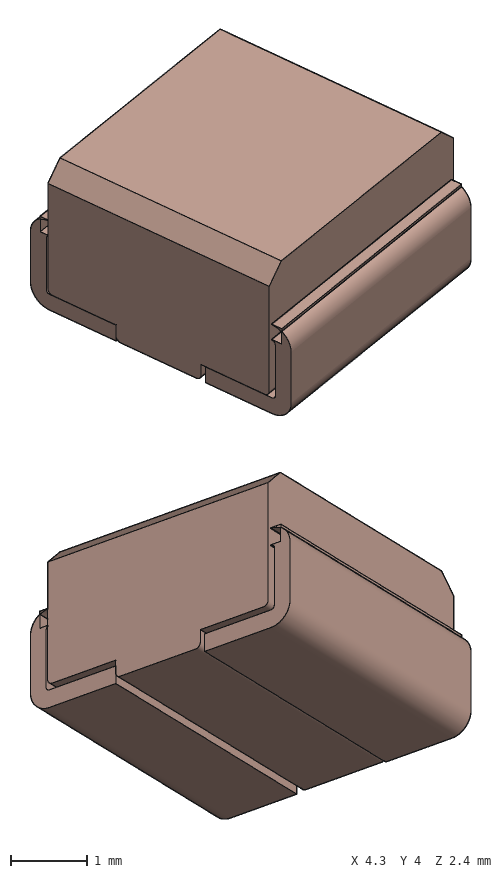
import cadquery as cq
import math

overall_length = 4.3
overall_height = 2.4

housing_length = 3.65
housing_width = 4.0
housing_bottom = 0.315
top_chamfer = 0.262
pad_length = 1.4
pad_bottom = 0.05
bottom_edge_radius = 0.077

lead_width = 3.9
lead_thickness = 0.262
lead_height = 1.485
bend_radius = 0.32
foot_gap = 0.035
tip_depth = 0.155
channel_wall = 0.01

lead_outer_x = -overall_length / 2
lead_inner_x = lead_outer_x + lead_thickness
housing_end_x = -housing_length / 2
foot_end_x = -pad_length / 2 - foot_gap
tip_start_x = lead_outer_x + tip_depth
tip_bottom = lead_height - lead_thickness
bend_center_x = lead_outer_x + bend_radius
upper_bend_z = lead_height - bend_radius
inner_radius = bend_radius - lead_thickness


def centered_slab(x_min, x_max, z_min, z_max, width):
    """Rectangular block centred on Y = 0."""
    return cq.Workplane("XY").box(
        x_max - x_min, width, z_max - z_min, centered=(False, True, False)
    ).translate((x_min, 0, z_min))


def make_housing():
    """Block with two chamfered top edges and a raised pad underneath."""
    block = centered_slab(housing_end_x, -housing_end_x, housing_bottom, overall_height, housing_width)
    block = block.faces(">Z").edges("|X").chamfer(top_chamfer)
    block = block.faces("<Z").edges("|Y").fillet(bottom_edge_radius)
    pad = centered_slab(-pad_length / 2, pad_length / 2, pad_bottom, housing_bottom, housing_width)
    pad = pad.faces("<Z").edges("|Y").fillet(bottom_edge_radius)
    return block.union(pad)


def make_bent_strip():
    """C-shaped strip: flat foot, upright wall and a tip turned in to the housing."""
    bend_step = bend_radius * math.sqrt(0.5)
    inner_step = inner_radius * math.sqrt(0.5)
    inner_foot_z = lead_thickness + inner_radius
    inner_tip_z = tip_bottom - inner_radius
    profile = (
        cq.Workplane("XZ")
        .moveTo(foot_end_x, 0)
        .lineTo(bend_center_x, 0)
        .threePointArc((bend_center_x - bend_step, bend_radius - bend_step), (lead_outer_x, bend_radius))
        .lineTo(lead_outer_x, upper_bend_z)
        .threePointArc((bend_center_x - bend_step, upper_bend_z + bend_step), (bend_center_x, lead_height))
        .lineTo(housing_end_x, lead_height)
        .lineTo(housing_end_x, tip_bottom)
        .lineTo(bend_center_x, tip_bottom)
        .threePointArc((bend_center_x - inner_step, inner_tip_z + inner_step), (lead_inner_x, inner_tip_z))
        .lineTo(lead_inner_x, inner_foot_z)
        .threePointArc((bend_center_x - inner_step, inner_foot_z - inner_step), (bend_center_x, lead_thickness))
        .lineTo(foot_end_x, lead_thickness)
        .close()
    )
    return profile.extrude(lead_width / 2, both=True)


def make_tip_channel():
    """Open channel through the tip, rounded concentrically with the upper bend."""
    channel = centered_slab(
        tip_start_x + channel_wall,
        housing_end_x,
        tip_bottom + channel_wall,
        lead_height - channel_wall,
        lead_width,
    )
    bend_limit = (
        cq.Workplane("XZ", origin=(bend_center_x, 0, upper_bend_z))
        .circle(bend_radius - channel_wall)
        .extrude(lead_width / 2, both=True)
    )
    return channel.intersect(bend_limit)


def make_lead():
    """Lead on the -X side, with a square-topped, hollow tip."""
    square_tip = centered_slab(tip_start_x, housing_end_x, tip_bottom, lead_height, lead_width)
    return make_bent_strip().union(square_tip).cut(make_tip_channel())


housing = make_housing()
leads = []
for turn in (0, 180):
    lead = make_lead().rotate((0, 0, 0), (0, 0, 1), turn)
    leads.append(lead.val())

result = cq.Compound.makeCompound([housing.val(), *leads])